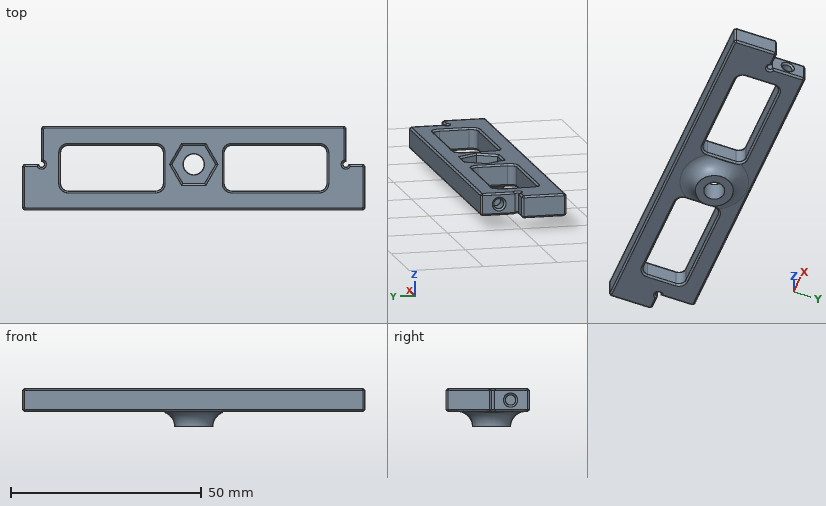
import cadquery as cq
import math

plate_length = 90.0
plate_width = 22.0
plate_height = 6.0
rear_length = 80.0
step_y = 12.0
edge_chamfer = 0.5
relief_radius = 0.75

window_length = 27.0
window_width = 12.0
window_corner_radius = 2.0
window_center_x = 21.5
window_center_y = plate_width / 2

boss_center_y = step_y
boss_height = 4.0
boss_radius = 5.0
boss_fillet_radius = boss_height
bolt_hole_diameter = 5.5
nut_across_flats = 10.0
nut_pocket_depth = 3.5

end_hole_diameter = 2.7
end_hole_depth = 4.0
end_hole_y = 17.0


def plate_blank():
    """Stepped plate with beveled upright edges and relieved inner corners."""
    front = cq.Workplane("XY").box(plate_length, step_y, plate_height, centered=(True, False, False))
    rear = cq.Workplane("XY").box(rear_length, plate_width, plate_height, centered=(True, False, False))
    front = front.edges("|Z").chamfer(edge_chamfer)
    rear = rear.edges("|Z and >Y").chamfer(edge_chamfer)
    reliefs = (
        cq.Workplane("XY")
        .pushPoints([(-rear_length / 2, step_y), (rear_length / 2, step_y)])
        .circle(relief_radius)
        .extrude(plate_height)
    )
    return front.union(rear).cut(reliefs)


def window_prisms(margin, bottom_z, top_z):
    """Both window shapes, grown outward by a margin, between two heights."""
    return (
        cq.Workplane("XY", origin=(0, window_center_y, bottom_z))
        .pushPoints([(-window_center_x, 0), (window_center_x, 0)])
        .rect(window_length + 2 * margin, window_width + 2 * margin)
        .extrude(top_z - bottom_z)
        .edges("|Z")
        .fillet(window_corner_radius + margin)
    )


def nut_pocket():
    """Hexagonal pocket in the top face, with two corners on the X direction."""
    across_corners = nut_across_flats / math.cos(math.pi / 6)
    return (
        cq.Workplane("XY", origin=(0, boss_center_y, plate_height))
        .polygon(6, across_corners)
        .extrude(-nut_pocket_depth)
    )


def flared_boss():
    """Round boss whose concave flank flares into the plate, trimmed clear of the windows."""
    foot_radius = boss_radius + boss_fillet_radius
    arc_middle = boss_fillet_radius * math.sin(math.pi / 4)
    boss = (
        cq.Workplane("XZ")
        .moveTo(0, -boss_height)
        .lineTo(boss_radius, -boss_height)
        .threePointArc((foot_radius - arc_middle, arc_middle - boss_fillet_radius), (foot_radius, 0))
        .lineTo(foot_radius, edge_chamfer)
        .lineTo(0, edge_chamfer)
        .close()
        .revolve(360, (0, 0, 0), (0, 1, 0))
        .translate((0, boss_center_y, 0))
    )
    return boss.cut(window_prisms(edge_chamfer, -boss_height, plate_height))


def bolt_hole():
    """Round hole through the boss and plate."""
    return (
        cq.Workplane("XY", origin=(0, boss_center_y, -boss_height))
        .circle(bolt_hole_diameter / 2)
        .extrude(boss_height + plate_height)
    )


def end_hole(side):
    """Countersunk blind hole running inward from the rear strip's end; side is -1 or 1."""
    mouth = cq.Vector(side * rear_length / 2, end_hole_y, plate_height / 2)
    inward = cq.Vector(-side, 0, 0)
    radius = end_hole_diameter / 2
    bore = cq.Solid.makeCylinder(radius, end_hole_depth, mouth, inward)
    countersink = cq.Solid.makeCone(radius + edge_chamfer, radius, edge_chamfer, mouth, inward)
    return cq.Workplane(obj=bore).union(cq.Workplane(obj=countersink))


plate = plate_blank().cut(window_prisms(0, 0, plate_height)).cut(nut_pocket())
plate = plate.faces(">Z or <Z").chamfer(edge_chamfer)

result = plate.union(flared_boss()).cut(bolt_hole())
for end_side in (-1, 1):
    result = result.cut(end_hole(end_side))